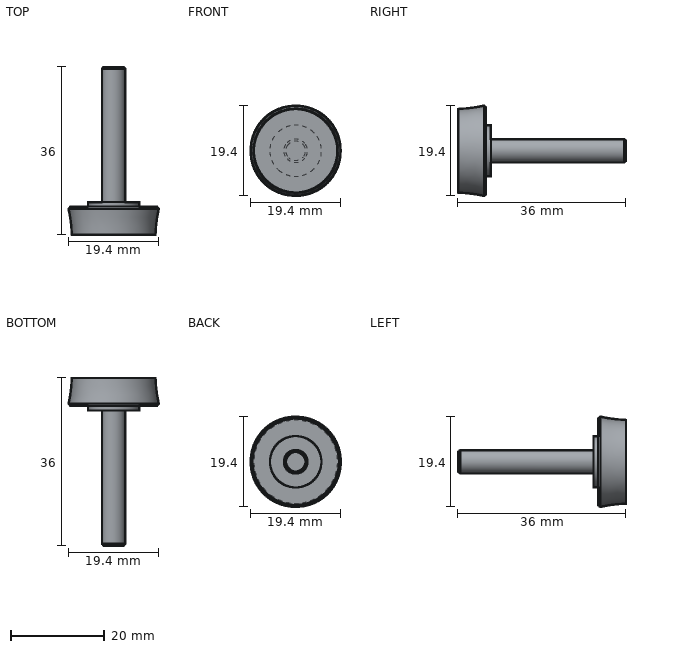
import cadquery as cq

total_length = 36.0
head_length = 6.0
head_radius = 9.7
head_face_radius = 9.0
head_waist_inset = 0.125
rim_bevel_length = 0.5
rim_bevel_depth = 0.45
face_edge_break = 0.07
collar_length = 1.0
collar_radius = 5.5
shaft_radius = 2.52
shaft_tip_length = 0.5
shaft_tip_depth = 0.45

face_y = -head_length
face_edge_y = face_y + face_edge_break
rim_y = -rim_bevel_length
waist_y = (face_edge_y + rim_y) / 2
waist_radius = (head_face_radius + head_radius) / 2 - head_waist_inset
tip_y = total_length - head_length

half_profile = (
    cq.Workplane("XY")
    .moveTo(0, face_y)
    .lineTo(head_face_radius - face_edge_break, face_y)
    .lineTo(head_face_radius, face_edge_y)
    .threePointArc((waist_radius, waist_y), (head_radius, rim_y))
    .lineTo(head_radius - rim_bevel_depth, 0)
    .lineTo(collar_radius, 0)
    .lineTo(collar_radius, collar_length)
    .lineTo(shaft_radius, collar_length)
    .lineTo(shaft_radius, tip_y - shaft_tip_length)
    .lineTo(shaft_radius - shaft_tip_depth, tip_y)
    .lineTo(0, tip_y)
    .close()
)

result = half_profile.revolve(360, (0, 0, 0), (0, 1, 0))